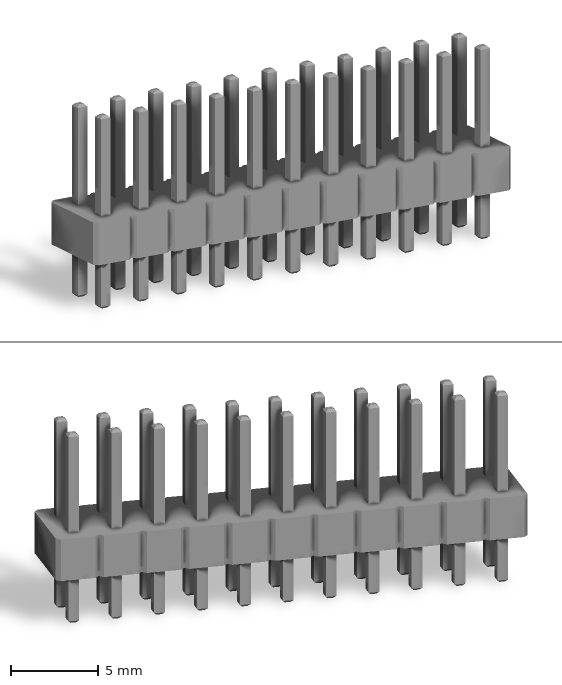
import cadquery as cq

rows = 2
pins_per_row = 11
overall_length = 27.95
pitch = overall_length / pins_per_row

body_width = rows * pitch
body_height = pitch
notch_depth = 0.25

pin_width = 0.65
pin_above = 5.98
pin_below = 3.02
tip_chamfer = 0.15
pin_length = pin_below + body_height + pin_above


def centered_positions(count):
    """Places of `count` items one pitch apart, centred on zero."""
    return [(i - (count - 1) / 2) * pitch for i in range(count)]


def make_body():
    """Row of square cells with all side corners chamfered, leaving V notches between cells."""
    half_width = body_width / 2
    half_cell = pitch / 2
    right_side = []
    for y in centered_positions(pins_per_row):
        right_side += [
            (half_width - notch_depth, y - half_cell),
            (half_width, y - half_cell + notch_depth),
            (half_width, y + half_cell - notch_depth),
        ]
    right_side.append((half_width - notch_depth, overall_length / 2))
    left_side = [(-x, y) for x, y in reversed(right_side)]
    return cq.Workplane("XY").polyline(right_side + left_side).close().extrude(body_height)


def make_pin():
    """One pin on the Z axis, passing through the body."""
    return (
        cq.Workplane("XY")
        .workplane(offset=-pin_below)
        .rect(pin_width, pin_width)
        .extrude(pin_length)
        .faces("<Z or >Z")
        .chamfer(tip_chamfer)
    )


pin = make_pin()
result = make_body()
for x in centered_positions(rows):
    for y in centered_positions(pins_per_row):
        result = result.union(pin.translate((x, y, 0)))